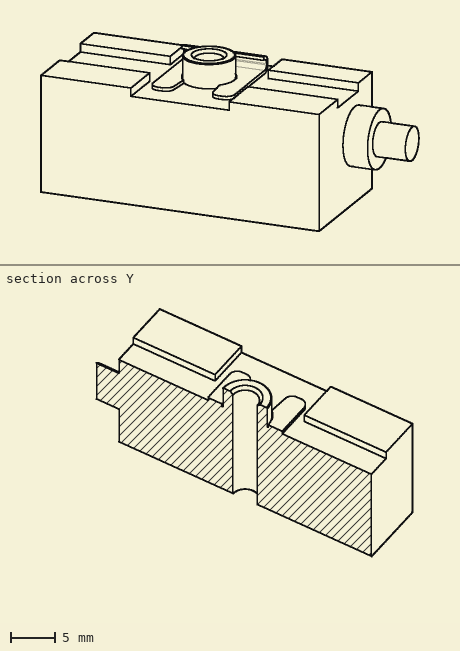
import cadquery as cq
import math

BODY_LENGTH = 34.0
BODY_HEIGHT = 14.0
BODY_FRONT = -8.5
BODY_BACK = 7.0
BODY_WIDTH = BODY_BACK - BODY_FRONT

CHANNEL_DEPTH = 1.0
CHANNEL_FLOOR = BODY_HEIGHT - CHANNEL_DEPTH
LONG_CHANNEL_WIDTH = 6.0
CROSS_CHANNEL_WIDTH = 12.0

COLLAR_DIAMETER = 6.0
COLLAR_HEIGHT = 3.0
COLLAR_CHAMFER = 0.1
BORE_DIAMETER = 3.24
BORE_MOUTH_DIAMETER = 4.0

CABLE_Y = 2.0
CABLE_Z = 8.0
SLEEVE_DIAMETER = 7.0
SLEEVE_LENGTH = 3.0
CABLE_DIAMETER = 4.0
CABLE_LENGTH = 4.0

CLIP_WIDTH = 10.0
CLIP_THICKNESS = 0.4
CLIP_BACK = 5.25
CLIP_HEIGHT = 2.1
CLIP_LIP_END = 4.0
LIP_BEND_RADIUS = 1.05
FOOT_BEND_RADIUS = 0.9
CLIP_FRONT = -5.5
CLIP_HOLE_DIAMETER = 6.2
LEG_END_RADIUS = 1.0
LEG_HALF_GAP = 2.0
LEG_TAPER_ANGLE = 5.0


def make_body():
    body = cq.Workplane("XY").box(BODY_LENGTH, BODY_WIDTH, BODY_HEIGHT, centered=(True, False, False))
    body = body.translate((0, BODY_FRONT, 0))
    long_channel = (
        cq.Workplane("XY", origin=(0, 0, CHANNEL_FLOOR))
        .box(BODY_LENGTH, LONG_CHANNEL_WIDTH, CHANNEL_DEPTH, centered=(True, True, False))
    )
    cross_channel = (
        cq.Workplane("XY", origin=(0, BODY_FRONT, CHANNEL_FLOOR))
        .box(CROSS_CHANNEL_WIDTH, BODY_WIDTH, CHANNEL_DEPTH, centered=(True, False, False))
    )
    return body.cut(long_channel).cut(cross_channel)


def make_collar():
    floor = cq.Workplane("XY", origin=(0, 0, CHANNEL_FLOOR))
    collar = floor.circle(COLLAR_DIAMETER / 2).extrude(COLLAR_HEIGHT)
    return collar.faces(">Z").edges().chamfer(COLLAR_CHAMFER)


def make_bore():
    top = CHANNEL_FLOOR + COLLAR_HEIGHT
    bore_radius = BORE_DIAMETER / 2
    mouth_radius = BORE_MOUTH_DIAMETER / 2
    mouth_depth = mouth_radius - bore_radius
    return (
        cq.Workplane("XZ")
        .moveTo(0, 0)
        .lineTo(bore_radius, 0)
        .lineTo(bore_radius, top - mouth_depth)
        .lineTo(mouth_radius, top)
        .lineTo(0, top)
        .close()
        .revolve(360, (0, 0, 0), (0, 1, 0))
    )


def make_cable_exit():
    body_end = BODY_LENGTH / 2
    sleeve = (
        cq.Workplane("YZ", origin=(body_end, CABLE_Y, CABLE_Z))
        .circle(SLEEVE_DIAMETER / 2)
        .extrude(SLEEVE_LENGTH)
    )
    cable = (
        cq.Workplane("YZ", origin=(body_end + SLEEVE_LENGTH, CABLE_Y, CABLE_Z))
        .circle(CABLE_DIAMETER / 2)
        .extrude(CABLE_LENGTH)
    )
    return sleeve.union(cable)


def point_on_bend(center_y, center_z, radius, angle):
    """Point of a bend in the YZ plane, with the angle in degrees from +Y towards +Z."""
    radians = math.radians(angle)
    return (center_y + radius * math.cos(radians), center_z + radius * math.sin(radians))


def make_clip_strip():
    """Bent strip: flat foot, foot bend, short upright back and a lip curled forward."""
    inner_back = CLIP_BACK - CLIP_THICKNESS
    foot_top = CHANNEL_FLOOR + CLIP_THICKNESS
    lip_top = CHANNEL_FLOOR + CLIP_HEIGHT
    lip_bottom = lip_top - CLIP_THICKNESS
    foot_y = CLIP_BACK - FOOT_BEND_RADIUS
    foot_z = CHANNEL_FLOOR + FOOT_BEND_RADIUS
    lip_y = CLIP_BACK - LIP_BEND_RADIUS
    lip_z = lip_top - LIP_BEND_RADIUS
    foot_inner_radius = FOOT_BEND_RADIUS - CLIP_THICKNESS
    lip_inner_radius = LIP_BEND_RADIUS - CLIP_THICKNESS
    return (
        cq.Workplane("YZ", origin=(-CLIP_WIDTH / 2, 0, 0))
        .moveTo(CLIP_FRONT, CHANNEL_FLOOR)
        .lineTo(foot_y, CHANNEL_FLOOR)
        .threePointArc(point_on_bend(foot_y, foot_z, FOOT_BEND_RADIUS, -45), (CLIP_BACK, foot_z))
        .lineTo(CLIP_BACK, lip_z)
        .threePointArc(point_on_bend(lip_y, lip_z, LIP_BEND_RADIUS, 45), (lip_y, lip_top))
        .lineTo(CLIP_LIP_END, lip_top)
        .lineTo(CLIP_LIP_END, lip_bottom)
        .lineTo(lip_y, lip_bottom)
        .threePointArc(point_on_bend(lip_y, lip_z, lip_inner_radius, 45), (inner_back, lip_z))
        .lineTo(inner_back, foot_z)
        .threePointArc(point_on_bend(foot_y, foot_z, foot_inner_radius, -45), (foot_y, foot_top))
        .lineTo(CLIP_FRONT, foot_top)
        .close()
        .extrude(CLIP_WIDTH)
    )


def make_clip_opening():
    """Clearance around the collar, open to the front between two slightly splayed legs."""
    front_half_gap = LEG_HALF_GAP - CLIP_FRONT * math.tan(math.radians(LEG_TAPER_ANGLE))
    floor = cq.Workplane("XY", origin=(0, 0, CHANNEL_FLOOR))
    clearance = floor.circle(CLIP_HOLE_DIAMETER / 2).extrude(CLIP_THICKNESS)
    leg_gap = (
        floor
        .moveTo(-LEG_HALF_GAP, 0)
        .lineTo(-front_half_gap, CLIP_FRONT)
        .lineTo(front_half_gap, CLIP_FRONT)
        .lineTo(LEG_HALF_GAP, 0)
        .close()
        .extrude(CLIP_THICKNESS)
    )
    return clearance.union(leg_gap)


def make_clip():
    clip = make_clip_strip().cut(make_clip_opening())
    leg_end_corners = clip.faces("<Y").edges("|Z")
    return leg_end_corners.fillet(LEG_END_RADIUS)


result = (
    make_body()
    .union(make_clip())
    .union(make_collar())
    .union(make_cable_exit())
    .cut(make_bore())
)